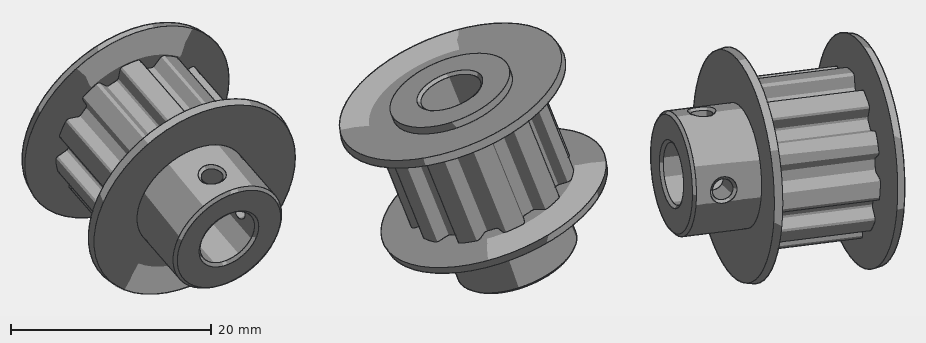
import cadquery as cq
import math

LENGTH = 20.65

HUB_RADIUS = 6.35
BORE_RADIUS = 3.17
EDGE_CHAMFER = 0.3

FLANGE_RADIUS = 11.92
BEND_RADIUS = 8.82
PLATE_THICKNESS = 0.83
DISH_DEPTH = 0.65
FLANGE_START = 0.17
FLANGE_END = 14.05
RIM_SLANT = 0.17

TOOTH_COUNT = 11
TIP_RADIUS = 8.7
ROOT_RADIUS = 7.25
GROOVE_HALF_WIDTH = 0.65
FLANK_ANGLE = 26.0
TIP_FILLET = 0.4
ROOT_FILLET = 0.38

SCREW_RADIUS = 1.1
SCREW_X = 17.45
SCREW_ANGLES = (0, -90)

TOLERANCE = 0.002

DRUM_START = FLANGE_START + PLATE_THICKNESS + DISH_DEPTH
DRUM_END = FLANGE_END - PLATE_THICKNESS - DISH_DEPTH


def axis_distance(edge):
    """Distance from the pulley axis to the middle of an edge."""
    middle = edge.positionAt(0.5)
    return math.hypot(middle.y, middle.z)


def make_drum():
    """Cylinder with equally spaced tapered grooves, the first one facing -Z."""
    drum_length = DRUM_END - DRUM_START
    plane = cq.Workplane("YZ", origin=(DRUM_START, 0, 0))
    drum = plane.circle(TIP_RADIUS).extrude(drum_length)

    flank_slope = math.tan(math.radians(FLANK_ANGLE))
    corner_z = math.sqrt(ROOT_RADIUS**2 - GROOVE_HALF_WIDTH**2)
    mouth_z = TIP_RADIUS + TIP_FILLET
    mouth_half_width = GROOVE_HALF_WIDTH + (mouth_z - corner_z) * flank_slope
    groove = (
        plane.moveTo(-mouth_half_width, -mouth_z)
        .lineTo(-GROOVE_HALF_WIDTH, -corner_z)
        .threePointArc((0, -ROOT_RADIUS), (GROOVE_HALF_WIDTH, -corner_z))
        .lineTo(mouth_half_width, -mouth_z)
        .close()
        .extrude(drum_length)
    )
    for index in range(TOOTH_COUNT):
        drum = drum.cut(groove.rotate((0, 0, 0), (1, 0, 0), index * 360 / TOOTH_COUNT))

    middle_radius = (ROOT_RADIUS + TIP_RADIUS) / 2
    drum = drum.edges("|X").filter(lambda edge: axis_distance(edge) < middle_radius).fillet(ROOT_FILLET)
    return drum.edges("|X").filter(lambda edge: axis_distance(edge) > TIP_RADIUS - TOLERANCE).fillet(TIP_FILLET)


def make_flange(outer_x, inward):
    """Dished plate whose rim edge is at outer_x; inward is the X direction (+1 or -1) toward the teeth."""
    profile = [
        (DISH_DEPTH, 0),
        (DISH_DEPTH, BEND_RADIUS),
        (0, FLANGE_RADIUS - RIM_SLANT),
        (PLATE_THICKNESS, FLANGE_RADIUS),
        (PLATE_THICKNESS + DISH_DEPTH, BEND_RADIUS),
        (PLATE_THICKNESS + DISH_DEPTH, 0),
    ]
    points = [(outer_x + inward * depth, radius) for depth, radius in profile]
    return cq.Workplane("XY").polyline(points).close().revolve(360, (0, 0, 0), (1, 0, 0))


def make_hub():
    """Solid core through the whole pulley, chamfered at its far end."""
    hub = cq.Workplane("YZ").circle(HUB_RADIUS).extrude(LENGTH)
    return hub.faces(">X").edges().chamfer(EDGE_CHAMFER)


def make_bore():
    """Through bore widened by a chamfer at both ends."""
    mouth_radius = BORE_RADIUS + EDGE_CHAMFER
    points = [
        (0, 0),
        (0, mouth_radius),
        (EDGE_CHAMFER, BORE_RADIUS),
        (LENGTH - EDGE_CHAMFER, BORE_RADIUS),
        (LENGTH, mouth_radius),
        (LENGTH, 0),
    ]
    return cq.Workplane("XY").polyline(points).close().revolve(360, (0, 0, 0), (1, 0, 0))


def drill_screw_holes(body):
    """Drill from the bore out to +Z and +Y, then chamfer each mouth."""
    hole = cq.Workplane("XY").center(SCREW_X, 0).circle(SCREW_RADIUS).extrude(FLANGE_RADIUS)
    for angle in SCREW_ANGLES:
        body = body.cut(hole.rotate((0, 0, 0), (1, 0, 0), angle))
    mid_wall_radius = (BORE_RADIUS + HUB_RADIUS) / 2
    mouths = body.edges("%BSPLINE").filter(lambda edge: axis_distance(edge) > mid_wall_radius)
    return mouths.chamfer(EDGE_CHAMFER)


pulley = (
    make_hub()
    .union(make_flange(FLANGE_START, 1))
    .union(make_flange(FLANGE_END, -1))
    .union(make_drum())
    .cut(make_bore())
)
result = drill_screw_holes(pulley)